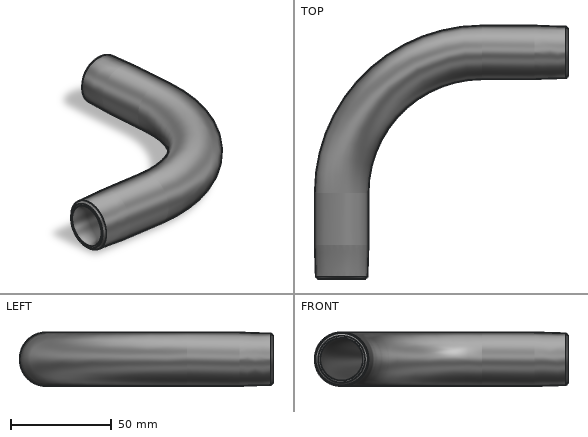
import cadquery as cq
import math

overall_length = 126.5
outer_diameter = 26.9
bore_diameter = 21.2
leg_length = 43.0
taper_length = 17.0
taper_ratio = 1 / 16
end_chamfer = 1.3

outer_radius = outer_diameter / 2
bore_radius = bore_diameter / 2
bend_radius = overall_length - leg_length - outer_radius
plain_length = leg_length - taper_length
end_radius = outer_radius - taper_ratio * taper_length / 2
chamfer_start_radius = end_radius + taper_ratio * end_chamfer / 2


def make_leg():
    """Straight leg along +Z: plain pipe, taper, then a chamfered end face."""
    profile = [
        (bore_radius, 0),
        (outer_radius, 0),
        (outer_radius, plain_length),
        (chamfer_start_radius, leg_length - end_chamfer),
        (end_radius - end_chamfer, leg_length),
        (bore_radius, leg_length),
    ]
    return cq.Workplane("XZ").polyline(profile).close().revolve(360, (0, 0), (0, 1))


def make_bend():
    """Quarter-turn pipe from (0, 0) heading +Y to (bend_radius, bend_radius) heading +X."""
    middle = bend_radius * (1 - math.cos(math.radians(45)))
    path = cq.Workplane("XY").threePointArc(
        (middle, bend_radius - middle), (bend_radius, bend_radius)
    )
    return cq.Workplane("XZ").circle(outer_radius).circle(bore_radius).sweep(path)


leg = make_leg()
leg_toward_front = leg.rotate((0, 0, 0), (1, 0, 0), 90)
leg_toward_right = leg.rotate((0, 0, 0), (0, 1, 0), 90).translate((bend_radius, bend_radius, 0))

result = make_bend().union(leg_toward_front).union(leg_toward_right)